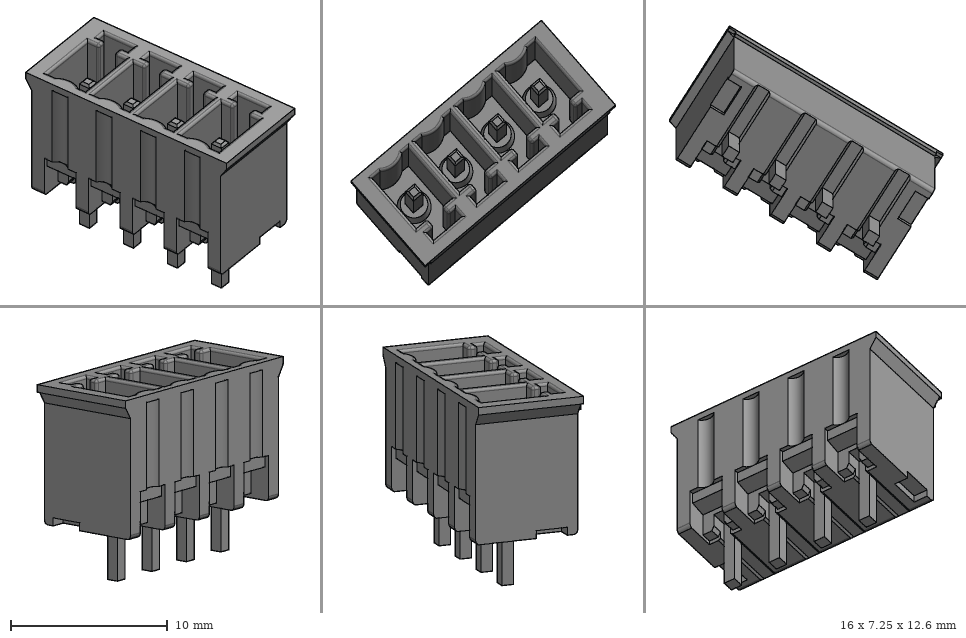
import cadquery as cq
import math


PITCH = 3.5
PIN_COUNT = 4
PIN_Y = 2.98
PIN_WIDTH = 0.8
PIN_TIP_Z = 7.94
PIN_TIP_WIDTH = 0.5
PIN_TIP_TAPER = 0.18
PIN_TAIL = 3.4

BODY_LENGTH = 15.04
BODY_DEPTH = 7.04
BODY_HEIGHT = 9.2
RIM_LENGTH = 16.0
RIM_DEPTH = 7.25
RIM_HEIGHT = 0.5
RIM_TAPER = 0.75
LIP_HEIGHT = 0.48
REAR_BOTTOM_RADIUS = 0.3
FRONT_BOTTOM_RADIUS = 0.34
FRONT_BOTTOM_RISE = 0.3

FLOOR_Z = 3.0
FRONT_WALL = 0.74
CELL_HALF_WIDTH = 1.45
CELL_BACK = 5.04
NECK_HALF_WIDTH = 0.56
KEY_FRONT = 5.7
KEY_BACK = 6.34
KEY_HALF_WIDTH = 1.12
END_CELL_EXTRA = 0.13
EDGE_RADIUS = 0.2
TONGUE_RADIUS = 0.18
BOSS_BASE_RADIUS = 1.09
BOSS_TOP_RADIUS = 0.88
BOSS_HEIGHT = 0.8

GROOVE_RADIUS = 0.8
GROOVE_DEPTH = 0.3
GROOVE_TOP_GAP = 0.5
SLOT_WIDTH = 2.51
SLOT_TOP_Z = 3.0
CEILING_FRONT_Z = 2.2
CEILING_REAR_Z = 2.0
SLOT_DEPTH = 1.44
STEP_DEPTH = 2.16
STEP_Z = 0.3

NOTCH_TOP_Z = 1.6
FLARE_WIDTH = 1.12
STEP_FLARE = 0.35
BASE_FLARE = 0.13
END_NOTCH_FRONT = 4.18
END_NOTCH_BACK = 6.32
END_NOTCH_HEIGHT = 0.53

PIN_X = [PITCH * (i - (PIN_COUNT - 1) / 2) for i in range(PIN_COUNT)]
END_LEG = BODY_LENGTH / 2 - PIN_X[-1] - SLOT_WIDTH / 2


def box(x_min, x_max, y_min, y_max, z_min, z_max):
    """Box given by its limits along each axis."""
    size = (x_max - x_min, y_max - y_min, z_max - z_min)
    return cq.Workplane("XY").box(*size, centered=False).translate((x_min, y_min, z_min))


def extrude_along_x(profile, center_x, width):
    """Extrude a YZ profile by the given width, centred on center_x."""
    return profile.extrude(width / 2, both=True).translate((center_x, 0, 0))


def extrude_along_y(profile, y_min, y_max):
    """Extrude an XZ profile between two depths."""
    return profile.extrude(-(y_max - y_min)).translate((0, y_min, 0))


def front_arc_inset(drop):
    """Distance of the front bottom arc behind the front face, at a drop below its start."""
    return FRONT_BOTTOM_RADIUS - math.sqrt(FRONT_BOTTOM_RADIUS**2 - drop**2)


def make_housing():
    """Block with tapered ends under the rim, a lip at the back and rounded bottom edges."""
    half_body = BODY_LENGTH / 2
    half_rim = RIM_LENGTH / 2
    rim_z = BODY_HEIGHT - RIM_HEIGHT
    taper_z = rim_z - RIM_TAPER
    outline = cq.Workplane("XZ").polyline(
        [
            (-half_body, 0),
            (half_body, 0),
            (half_body, taper_z),
            (half_rim, rim_z),
            (half_rim, BODY_HEIGHT),
            (-half_rim, BODY_HEIGHT),
            (-half_rim, rim_z),
            (-half_body, taper_z),
        ]
    ).close()
    body = extrude_along_y(outline, 0, BODY_DEPTH)
    body = body.edges("<Z and >Y").fillet(REAR_BOTTOM_RADIUS)

    mid_rise = FRONT_BOTTOM_RISE / 2
    front_corner = (
        cq.Workplane("YZ")
        .moveTo(0, 0)
        .lineTo(0, FRONT_BOTTOM_RISE)
        .threePointArc(
            (front_arc_inset(mid_rise), FRONT_BOTTOM_RISE - mid_rise),
            (front_arc_inset(FRONT_BOTTOM_RISE), 0),
        )
        .close()
    )
    body = body.cut(extrude_along_x(front_corner, 0, BODY_LENGTH))

    rim = box(-half_rim, half_rim, BODY_DEPTH, RIM_DEPTH, rim_z, BODY_HEIGHT)
    lip = box(-half_body, half_body, BODY_DEPTH, RIM_DEPTH, rim_z - LIP_HEIGHT, rim_z)
    return body.union(rim).union(lip)


def make_cell(x, left_extra, right_extra):
    """Keyed cell: wide front part bulged inward by the groove, neck, and key slot behind."""
    groove_center_y = GROOVE_DEPTH - GROOVE_RADIUS
    bulge_radius = GROOVE_RADIUS + FRONT_WALL
    bulge_half = math.sqrt(bulge_radius**2 - (FRONT_WALL - groove_center_y) ** 2)
    left = x - left_extra
    right = x + right_extra
    cell = (
        cq.Workplane("XY")
        .moveTo(left - CELL_HALF_WIDTH, FRONT_WALL)
        .lineTo(x - bulge_half, FRONT_WALL)
        .threePointArc((x, groove_center_y + bulge_radius), (x + bulge_half, FRONT_WALL))
        .lineTo(right + CELL_HALF_WIDTH, FRONT_WALL)
        .lineTo(right + CELL_HALF_WIDTH, CELL_BACK)
        .lineTo(right + NECK_HALF_WIDTH, CELL_BACK)
        .lineTo(right + NECK_HALF_WIDTH, KEY_FRONT)
        .lineTo(right + KEY_HALF_WIDTH, KEY_FRONT)
        .lineTo(right + KEY_HALF_WIDTH, KEY_BACK)
        .lineTo(left - KEY_HALF_WIDTH, KEY_BACK)
        .lineTo(left - KEY_HALF_WIDTH, KEY_FRONT)
        .lineTo(left - NECK_HALF_WIDTH, KEY_FRONT)
        .lineTo(left - NECK_HALF_WIDTH, CELL_BACK)
        .lineTo(left - CELL_HALF_WIDTH, CELL_BACK)
        .close()
        .extrude(BODY_HEIGHT - FLOOR_Z)
        .translate((0, 0, FLOOR_Z))
    )
    neck_margin = NECK_HALF_WIDTH + END_CELL_EXTRA + EDGE_RADIUS
    neck_edges = cq.selectors.BoxSelector(
        (x - neck_margin, CELL_BACK - EDGE_RADIUS, FLOOR_Z),
        (x + neck_margin, KEY_FRONT + EDGE_RADIUS, BODY_HEIGHT),
    )
    return cell.edges("|Z").edges(neck_edges).fillet(TONGUE_RADIUS)


def make_boss(x):
    """Tapered boss on the cell floor around the pin."""
    return (
        cq.Workplane("XY", origin=(x, PIN_Y, FLOOR_Z))
        .circle(BOSS_BASE_RADIUS)
        .workplane(offset=BOSS_HEIGHT)
        .circle(BOSS_TOP_RADIUS)
        .loft()
    )


def make_pin(x):
    """Square pin with a tapered tip."""
    shoulder_z = PIN_TIP_Z - PIN_TIP_TAPER
    half = PIN_WIDTH / 2
    shaft = box(x - half, x + half, PIN_Y - half, PIN_Y + half, -PIN_TAIL, shoulder_z)
    tip = (
        cq.Workplane("XY", origin=(x, PIN_Y, shoulder_z))
        .rect(PIN_WIDTH, PIN_WIDTH)
        .workplane(offset=PIN_TIP_TAPER)
        .rect(PIN_TIP_WIDTH, PIN_TIP_WIDTH)
        .loft()
    )
    return shaft.union(tip)


def make_groove(x):
    """Round vertical groove in the front face, down to the slot."""
    height = BODY_HEIGHT - GROOVE_TOP_GAP - SLOT_TOP_Z
    return (
        cq.Workplane("XY", origin=(x, GROOVE_DEPTH - GROOVE_RADIUS, SLOT_TOP_Z))
        .circle(GROOVE_RADIUS)
        .extrude(height)
    )


def make_slot(x):
    """Stepped slot with a sloping ceiling in the lower part of the front face."""
    profile = cq.Workplane("YZ").polyline(
        [
            (0, 0),
            (STEP_DEPTH, 0),
            (STEP_DEPTH, STEP_Z),
            (SLOT_DEPTH, STEP_Z),
            (SLOT_DEPTH, CEILING_REAR_Z),
            (GROOVE_DEPTH, CEILING_FRONT_Z),
            (GROOVE_DEPTH, SLOT_TOP_Z),
            (0, SLOT_TOP_Z),
        ]
    ).close()
    return extrude_along_x(profile, x, SLOT_WIDTH)


def make_flare(x, bottom_z, height, y_min, y_max):
    """Trapezoidal groove that widens downwards from the width of the pin."""
    profile = cq.Workplane("XZ").polyline(
        [
            (x - FLARE_WIDTH / 2, bottom_z),
            (x + FLARE_WIDTH / 2, bottom_z),
            (x + PIN_WIDTH / 2, bottom_z + height),
            (x - PIN_WIDTH / 2, bottom_z + height),
        ]
    ).close()
    return extrude_along_y(profile, y_min, y_max)


def make_pin_notch(x):
    """Notch as wide as the pin, open to the slot and the underside, with flared bottom edges."""
    half = PIN_WIDTH / 2
    notch = box(x - half, x + half, SLOT_DEPTH, PIN_Y, 0, NOTCH_TOP_Z)
    step_flare = make_flare(x, STEP_Z, STEP_FLARE, SLOT_DEPTH, STEP_DEPTH)
    base_flare = make_flare(x, 0, BASE_FLARE, STEP_DEPTH, BODY_DEPTH)
    return notch.union(step_flare).union(base_flare)


housing = make_housing()

for index, x in enumerate(PIN_X):
    left_extra = END_CELL_EXTRA if index == 0 else 0
    right_extra = END_CELL_EXTRA if index == PIN_COUNT - 1 else 0
    housing = housing.cut(make_cell(x, left_extra, right_extra))

mouth_edges = [
    edge for wire in housing.faces(">Z").val().innerWires() for edge in wire.Edges()
]
housing = housing.newObject(mouth_edges).fillet(EDGE_RADIUS)

for x in PIN_X:
    housing = housing.cut(make_groove(x)).cut(make_slot(x)).cut(make_pin_notch(x))

for side in (-1, 1):
    x_min, x_max = sorted((side * BODY_LENGTH / 2, side * (BODY_LENGTH / 2 - END_LEG)))
    housing = housing.cut(
        box(x_min, x_max, END_NOTCH_FRONT, END_NOTCH_BACK, 0, END_NOTCH_HEIGHT)
    )

result = housing
for x in PIN_X:
    result = result.union(make_boss(x)).union(make_pin(x))